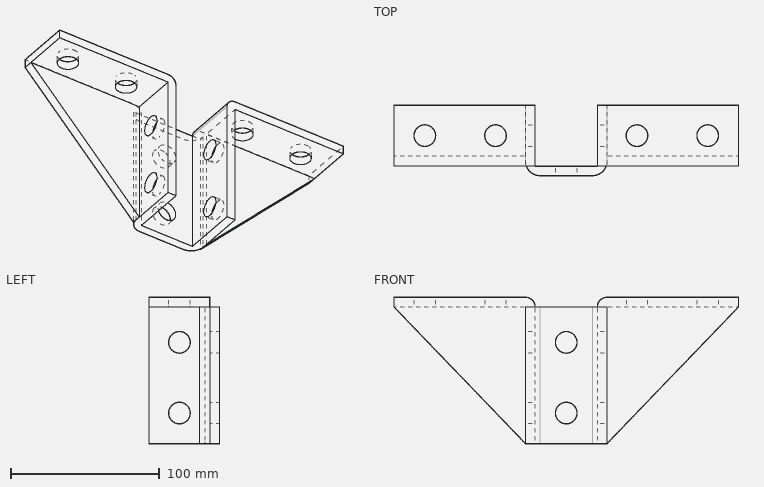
import cadquery as cq

length = 231.7
depth = 47.5
height = 98.5

thickness = 6.5
channel_width = 54.7
corner_radius = 9.7
gusset_thickness = 7.0

hole_diameter = 14.4
hole_pitch = 47.5
lower_hole_z = 20.6
inner_hole_x = 47.5

half_length = length / 2
half_channel = channel_width / 2
half_opening = half_channel - thickness
web_top = height - thickness
flange_depth = depth - thickness
hole_y = thickness + flange_depth / 2


def make_channel():
    """U-shaped channel, open to the back, with rounded front corners."""
    outer = (
        cq.Workplane("XY")
        .rect(channel_width, 2 * depth)
        .extrude(web_top)
        .edges("|Z and <Y")
        .fillet(corner_radius)
        .translate((0, depth, 0))
    )
    opening = cq.Workplane("XY").box(
        2 * half_opening, 2 * depth, height, centered=(True, False, False)
    ).translate((0, thickness, 0))
    behind = cq.Workplane("XY").box(
        channel_width, 2 * depth, height, centered=(True, False, False)
    ).translate((0, depth, 0))
    return outer.cut(opening).cut(behind)


def make_right_wing():
    """Top flange, rounded where it bends into the side wall, with its gusset."""
    flange = (
        cq.Workplane("XY")
        .box(half_length - half_opening, flange_depth, thickness, centered=False)
        .translate((half_opening, thickness, web_top))
    )
    bend_tool = (
        cq.Workplane("XZ", origin=(0, depth, 0))
        .moveTo(half_opening, web_top)
        .radiusArc((half_channel, height), thickness)
        .lineTo(half_opening, height)
        .close()
        .extrude(flange_depth)
    )
    gusset = (
        cq.Workplane("XZ", origin=(0, thickness + gusset_thickness, 0))
        .polyline([(half_channel, 0), (half_length, web_top), (half_channel, web_top)])
        .close()
        .extrude(gusset_thickness)
    )
    return flange.cut(bend_tool).union(gusset)


def make_holes():
    """Hole pairs through the web, both side walls and each flange."""
    web_holes = cq.Workplane("XZ")
    wall_holes = cq.Workplane("YZ")
    flange_holes = cq.Workplane("XY", origin=(0, 0, web_top))
    heights = [lower_hole_z, lower_hole_z + hole_pitch]
    offsets = [inner_hole_x, inner_hole_x + hole_pitch]

    web_holes = web_holes.pushPoints([(0, z) for z in heights])
    web_holes = web_holes.circle(hole_diameter / 2).extrude(-thickness)
    wall_holes = wall_holes.pushPoints([(hole_y, z) for z in heights])
    wall_holes = wall_holes.circle(hole_diameter / 2).extrude(half_channel, both=True)
    flange_points = [(side * x, hole_y) for side in (-1, 1) for x in offsets]
    flange_holes = flange_holes.pushPoints(flange_points)
    flange_holes = flange_holes.circle(hole_diameter / 2).extrude(thickness)
    return web_holes.union(wall_holes).union(flange_holes)


right_wing = make_right_wing()
left_wing = right_wing.mirror("YZ")
result = make_channel().union(right_wing).union(left_wing).cut(make_holes())